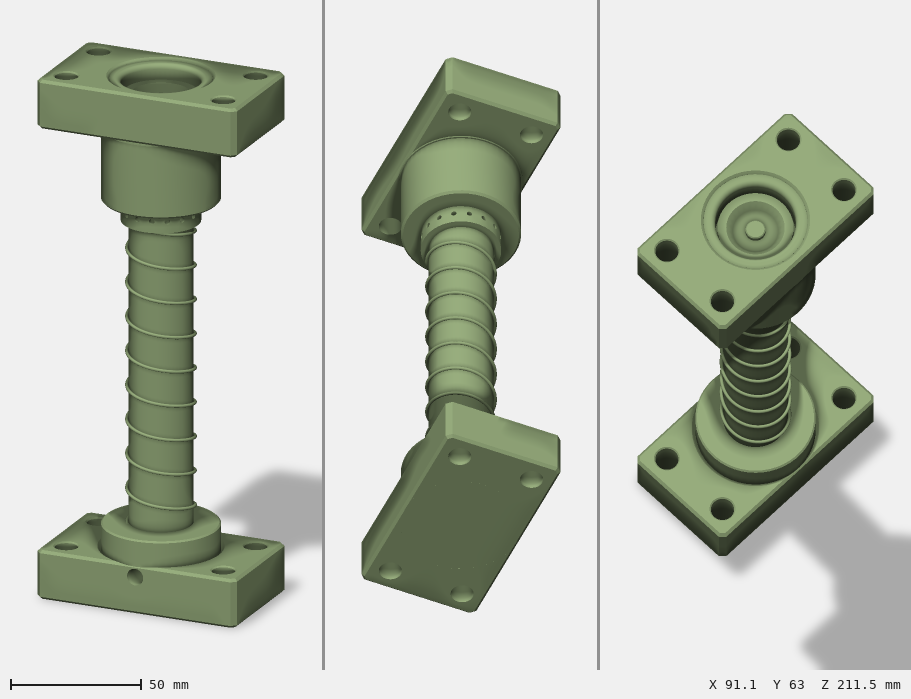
import cadquery as cq
import math

total_height = 211.5

plate_length = 84.0
plate_width = 48.0
plate_thickness = 19.9
plate_angle = 11.5
corner_chamfer = 2.0
edge_chamfer = 1.0
bolt_spacing_long = 66.0
bolt_spacing_short = 30.0
bolt_hole_diameter = 8.9
bolt_hole_chamfer = 0.53
upper_hole_chamfer = 1.0
lower_hole_chamfer = 1.37
side_hole_diameter = 6.8
side_hole_z = 15.0

bush_radius = 23.0
spigot_radius = 19.9
bush_edge_chamfer = 0.8
flange_radius = 23.7
flange_thickness = 0.6
upper_bush_bottom = 161.2
upper_bush_recess = 1.0
bore_round = 2.0
lower_bush_top = 29.8
lower_bush_chamfer = 0.6

post_radius = 12.5
cage_radius = 15.5
cage_bottom = 152.7
window_diameter = 2.1
window_count = 16
window_z = 157.4
spring_pitch = 14.0
wire_radius = 0.6
spring_phase_z = 38.0

cap_radius = 14.5
cap_top = 204.5
cap_thickness = 5.7
cup_top_radius = 11.2
cup_bottom_radius = 8.0
cup_depth = 3.5
cup_round = 2.1
pin_radius = 3.8
pin_top = 203.3
pin_depth = 8.5
pin_chamfer = 0.5

upper_plate_bottom = total_height - plate_thickness
upper_bush_top = total_height - upper_bush_recess
post_top = cap_top - cap_thickness
pin_bottom = post_top - pin_depth


def cylinder(radius, bottom, top):
    """Upright cylinder on the common Z axis."""
    return cq.Workplane("XY", origin=(0, 0, bottom)).circle(radius).extrude(top - bottom)


def bevelled_hole(radius, chamfer, bottom, top):
    """Cutter for a through hole that widens by a 45 degree bevel at its upper rim."""
    bevel = cq.Solid.makeCone(radius, radius + chamfer, chamfer, pnt=cq.Vector(0, 0, top - chamfer))
    return cylinder(radius, bottom, top).union(cq.Workplane(bevel))


def side_hole():
    """Radial hole from the long side of a plate to the Z axis; the post closes its inner end."""
    return (
        cq.Workplane("XZ", origin=(0, 0, side_hole_z))
        .circle(side_hole_diameter / 2)
        .extrude(plate_width)
        .rotate((0, 0, 0), (0, 0, 1), plate_angle)
    )


def make_plate(bottom, bore_radius, bore_chamfer):
    """Rotated rectangular plate with bevelled edges, four bolt holes and a bevelled bore."""
    top = bottom + plate_thickness
    plate = (
        cq.Workplane("XY", origin=(0, 0, bottom))
        .rect(plate_length, plate_width)
        .extrude(plate_thickness)
        .edges("|Z")
        .chamfer(corner_chamfer)
        .faces("<Z or >Z")
        .edges()
        .chamfer(edge_chamfer)
    )
    bolt_hole = bevelled_hole(bolt_hole_diameter / 2, bolt_hole_chamfer, bottom, top)
    for x_sign in (-1, 1):
        for y_sign in (-1, 1):
            place = (x_sign * bolt_spacing_long / 2, y_sign * bolt_spacing_short / 2, 0)
            plate = plate.cut(bolt_hole.translate(place))
    plate = plate.cut(bevelled_hole(bore_radius, bore_chamfer, bottom, top))
    return plate.rotate((0, 0, 0), (0, 0, 1), plate_angle)


def make_upper_bush():
    """Flanged guide bush whose spigot fills the upper plate's bore."""
    body = cylinder(bush_radius, upper_bush_bottom, upper_plate_bottom)
    body = body.faces("<Z").edges().chamfer(bush_edge_chamfer)
    flange = cylinder(flange_radius, upper_plate_bottom - flange_thickness, upper_plate_bottom)
    spigot = cylinder(spigot_radius, upper_plate_bottom, upper_bush_top)
    bore = cylinder(cage_radius, upper_bush_bottom, upper_bush_top)
    bush = body.union(flange).union(spigot).cut(bore)
    return bush.faces(">Z").edges(cq.selectors.RadiusNthSelector(0)).fillet(bore_round)


def make_lower_bush():
    """Plain collar that holds the post in the lower plate."""
    collar = cylinder(bush_radius, 0, lower_bush_top).faces(">Z").edges().chamfer(lower_bush_chamfer)
    return collar.cut(cylinder(post_radius, 0, lower_bush_top)).cut(side_hole())


def make_post():
    """Guide post with a blind hole for the pin in its upper end."""
    return cylinder(post_radius, 0, post_top).cut(cylinder(pin_radius, pin_bottom, post_top))


def make_cage():
    """Ball cage sleeve with a ring of small round windows near its lower end."""
    cage = cylinder(cage_radius, cage_bottom, post_top).cut(cylinder(post_radius, cage_bottom, post_top))
    window = cq.Workplane("YZ", origin=(0, 0, window_z)).circle(window_diameter / 2).extrude(cage_radius)
    for index in range(window_count):
        cage = cage.cut(window.rotate((0, 0, 0), (0, 0, 1), index * 360 / window_count))
    return cage


def make_spring():
    """Left-hand spring around the post, ground flat against the lower bush and the cage."""
    coil_radius = post_radius + wire_radius
    start_z = spring_phase_z - spring_pitch
    turns = math.ceil((cage_bottom - start_z) / spring_pitch)
    path = cq.Wire.makeHelix(
        spring_pitch, turns * spring_pitch, coil_radius, center=cq.Vector(0, 0, start_z), lefthand=True
    )
    coil = (
        cq.Workplane("XZ", origin=(0, 0, start_z))
        .center(coil_radius, 0)
        .circle(wire_radius)
        .sweep(cq.Workplane(path), isFrenet=True)
    )
    return coil.intersect(cylinder(cage_radius, lower_bush_top, cage_bottom))


def make_cap():
    """Round end cap with a tapered, rounded cup around the pin."""
    cup_floor = cap_top - cup_depth
    cup = cq.Workplane(
        cq.Solid.makeCone(cup_bottom_radius, cup_top_radius, cup_depth, pnt=cq.Vector(0, 0, cup_floor))
    )
    cup = cup.faces("<Z").edges().fillet(cup_round)
    return cylinder(cap_radius, post_top, cap_top).cut(cup).cut(cylinder(pin_radius, post_top, cap_top))


def make_pin():
    """Pin that locates the end cap on the post."""
    return cylinder(pin_radius, pin_bottom, pin_top).faces(">Z").edges().chamfer(pin_chamfer)


upper_plate = make_plate(upper_plate_bottom, spigot_radius, upper_hole_chamfer)
lower_plate = make_plate(0, bush_radius, lower_hole_chamfer).cut(side_hole())
upper_bush = make_upper_bush()
lower_bush = make_lower_bush()
post = make_post()
cage = make_cage()
spring = make_spring()
cap = make_cap()
pin = make_pin()

result = cq.Compound.makeCompound(
    [
        upper_plate.val(),
        lower_plate.val(),
        upper_bush.val(),
        lower_bush.val(),
        post.val(),
        cage.val(),
        spring.val(),
        cap.val(),
        pin.val(),
    ]
)